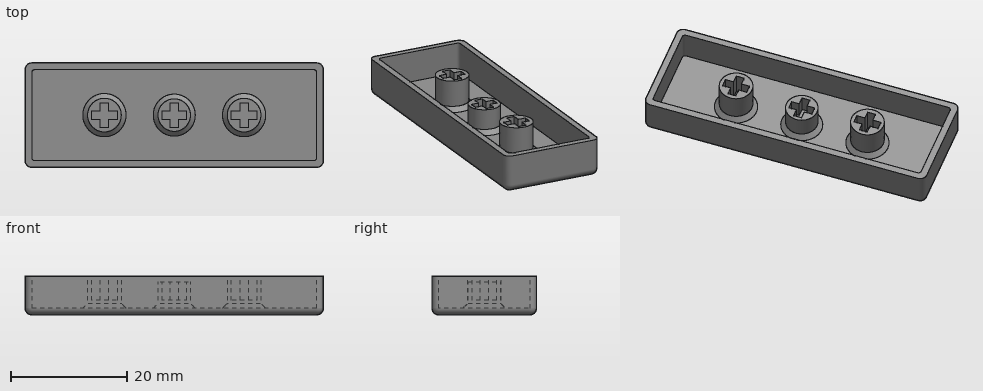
import cadquery as cq

length = 51.4
width = 18.05
height = 6.7
wall = 1.2
floor_thickness = 1.2
corner_radius = 1.2
bottom_radius = 1.2
inner_corner_radius = 0.5

post_spacing = 12.0
outer_post_diameter = 5.8
middle_post_diameter = 5.6
outer_post_top = 6.7
middle_post_top = 5.65
flare_size = 0.8
cross_bar = 1.45
outer_cross_length = 4.4
middle_cross_length = 4.2
cross_height = 4.2
outer_socket_depth = 4.1
middle_socket_depth = 3.1


def make_tray():
    body = cq.Workplane("XY").box(length, width, height, centered=(True, True, False))
    body = body.edges("|Z").fillet(corner_radius).faces("<Z").edges().fillet(bottom_radius)
    cavity = (
        cq.Workplane("XY", origin=(0, 0, floor_thickness))
        .rect(length - 2 * wall, width - 2 * wall)
        .extrude(height - floor_thickness)
        .edges("|Z")
        .fillet(inner_corner_radius)
    )
    return body.cut(cavity)


def make_post(x, diameter, top, cross_length, socket_depth):
    """Return a round post with a conical foot and a cross socket in its top."""
    radius = diameter / 2
    post = (
        cq.Workplane("XZ")
        .polyline([
            (0, floor_thickness),
            (radius + flare_size, floor_thickness),
            (radius, floor_thickness + flare_size),
            (radius, top),
            (0, top),
        ])
        .close()
        .revolve(360, (0, 0), (0, 1))
    )
    socket_plane = cq.Workplane("XY", origin=(0, 0, top))
    for size_x, size_y in ((cross_length, cross_bar), (cross_bar, cross_height)):
        post = post.cut(socket_plane.rect(size_x, size_y).extrude(-socket_depth))
    return post.translate((x, 0, 0))


result = make_tray()
for x in (-post_spacing, post_spacing):
    result = result.union(
        make_post(x, outer_post_diameter, outer_post_top, outer_cross_length, outer_socket_depth)
    )
result = result.union(
    make_post(0, middle_post_diameter, middle_post_top, middle_cross_length, middle_socket_depth)
)